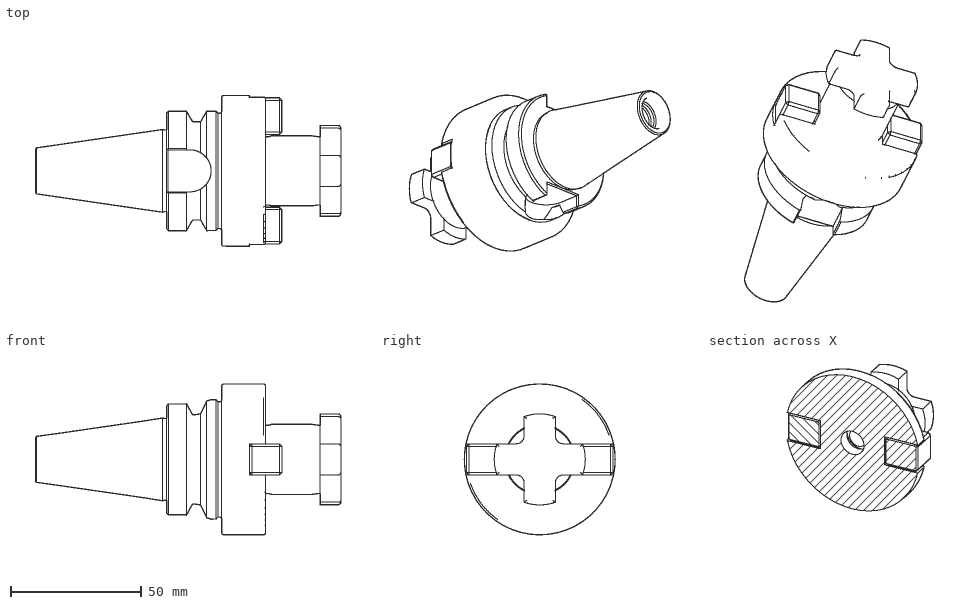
import cadquery as cq
import math


CUT_MARGIN = 1.0

GAUGE_R = 31.75 / 2
TAPER_LEN = 48.4
TAPER_SLOPE = 7 / 48
SMALL_END_R = GAUGE_R - TAPER_LEN * TAPER_SLOPE
SMALL_END_CHAMFER = 0.5
TAPER_OVERRUN = 0.5
TAPER_END_R = GAUGE_R + TAPER_OVERRUN * TAPER_SLOPE
NECK_R = GAUGE_R - 0.15
NECK_X = 1.2

GRIP_X = 2.0
GRIP_R = 23.0
GRIP_CHAMFER = 0.75
GROOVE_X = 13.5
GROOVE_DEPTH = 4.1
GROOVE_HALF_TOP = 3.9
GROOVE_HALF_FLOOR = GROOVE_HALF_TOP - GROOVE_DEPTH * math.tan(math.radians(30))
GROOVE_FLOOR_R = GRIP_R - GROOVE_DEPTH
GROOVE_FILLET = 0.8
GRIP_END_X = 20.9
RELIEF_DEPTH = 0.8

SLOT_HALF = 16.1 / 2
SLOT_FLOOR = 16.3
SLOT_END_X = 19.1
SLOT_CHAMFER = 0.5

BODY_X = 23.15
BODY_END_X = 40.0
BODY_R = 29.0
BODY_FILLET = 0.8

ARBOR_R = 27.0 / 2
ARBOR_LEN = 21.0
ARBOR_END_X = BODY_END_X + ARBOR_LEN
ARBOR_NECK_R = ARBOR_R - 0.3
ARBOR_NECK_LEN = 1.3
ARBOR_NECK_FILLET = 0.25
ARBOR_NECK_CONE = 1.0
LEAD_LEN = 2.0
LEAD_LAND = 1.1

BORE_R = 12.5 / 2
BORE_DEPTH = 5.6
BORE_MOUTH_FILLET = 1.0
STEP_R = 5.6
STEP_LEN = 2.0
STEP_CONE = 0.5
CORE_R = 4.9

HEAD_R = 35.0 / 2
HEAD_LEN = 8.0
LOBE_HALF = 6.0
LOBE_FILLET = 3.0
HEAD_FILLET = 1.3
SHANK_R = 6.0
SHANK_LEN = 22.0
TIP_CHAMFER = 2.25

KEY_X = 33.8
KEY_END_X = 46.3
KEY_WIDTH = 12.0
KEY_INNER = 13.9
KEY_OUTER = 28.1
KEY_CHAMFER = 1.0


def fillet_mid_offset(radius):
    """Distance of a right-angle fillet's midpoint from each of the two sides it joins."""
    return radius * (1 - math.sqrt(0.5))


def drive_slot():
    """Round-ended slot above SLOT_FLOOR, with a chamfered mouth and chamfered long edges."""
    height = GRIP_R + CUT_MARGIN - SLOT_FLOOR
    straight_end = SLOT_END_X - SLOT_HALF
    slot = (
        cq.Workplane("XY", origin=(0, 0, SLOT_FLOOR))
        .moveTo(GRIP_X - CUT_MARGIN, -SLOT_HALF)
        .lineTo(straight_end, -SLOT_HALF)
        .threePointArc((SLOT_END_X, 0), (straight_end, SLOT_HALF))
        .lineTo(GRIP_X - CUT_MARGIN, SLOT_HALF)
        .close()
        .extrude(height)
    )
    mouth_half = SLOT_HALF + SLOT_CHAMFER
    mouth = (
        cq.Workplane("YZ", origin=(GRIP_X, 0, SLOT_FLOOR + height / 2))
        .rect(2 * mouth_half, height + 2 * SLOT_CHAMFER)
        .extrude(SLOT_CHAMFER, taper=45)
    )
    edge_z = math.sqrt(GRIP_R**2 - mouth_half**2)
    long_edges = (
        cq.Workplane("YZ", origin=(GRIP_X, 0, 0))
        .moveTo(-mouth_half, edge_z)
        .lineTo(-SLOT_HALF, edge_z - SLOT_CHAMFER)
        .lineTo(SLOT_HALF, edge_z - SLOT_CHAMFER)
        .lineTo(mouth_half, edge_z)
        .lineTo(mouth_half, GRIP_R)
        .lineTo(-mouth_half, GRIP_R)
        .close()
        .extrude(GROOVE_X - GROOVE_HALF_TOP - GRIP_X)
    )
    return slot.union(mouth).union(long_edges)


def groove_cutter():
    """V groove ring with one rounded floor corner."""
    return (
        cq.Workplane("XY")
        .moveTo(GROOVE_X - GROOVE_HALF_TOP, GRIP_R)
        .lineTo(GROOVE_X - GROOVE_HALF_FLOOR, GROOVE_FLOOR_R)
        .lineTo(GROOVE_X + GROOVE_HALF_FLOOR, GROOVE_FLOOR_R)
        .lineTo(GROOVE_X + GROOVE_HALF_TOP, GRIP_R)
        .lineTo(GROOVE_X + GROOVE_HALF_TOP, GRIP_R + CUT_MARGIN)
        .lineTo(GROOVE_X - GROOVE_HALF_TOP, GRIP_R + CUT_MARGIN)
        .close()
        .revolve(360, (0, 0, 0), (1, 0, 0))
        .edges(cq.selectors.RadiusNthSelector(0))
        .edges("<X")
        .fillet(GROOVE_FILLET)
    )


def bore_cutter():
    """Stepped pull stud bore that runs on through the arbor, widened there for the screw shank."""
    face_x = -TAPER_LEN
    mouth_r = BORE_R + BORE_MOUTH_FILLET
    step_x = face_x + BORE_DEPTH
    arc_offset = fillet_mid_offset(BORE_MOUTH_FILLET)
    bore = (
        cq.Workplane("XY")
        .moveTo(face_x, 0)
        .lineTo(face_x, mouth_r)
        .threePointArc(
            (face_x + arc_offset, BORE_R + arc_offset),
            (face_x + BORE_MOUTH_FILLET, BORE_R),
        )
        .lineTo(step_x, BORE_R)
        .lineTo(step_x + STEP_CONE, STEP_R)
        .lineTo(step_x + STEP_LEN, STEP_R)
        .lineTo(step_x + STEP_LEN + STEP_CONE, CORE_R)
        .lineTo(ARBOR_END_X, CORE_R)
        .lineTo(ARBOR_END_X, 0)
        .close()
        .revolve(360, (0, 0, 0), (1, 0, 0))
    )
    shank_hole = (
        cq.Workplane("YZ", origin=(ARBOR_END_X, 0, 0))
        .circle(SHANK_R)
        .extrude(-SHANK_LEN)
    )
    return bore.union(shank_hole)


def key_block(side, outer):
    """Block of key width on the +Y (side = 1) or -Y (side = -1) side, reaching out to y = outer."""
    return (
        cq.Workplane("XY")
        .box(KEY_END_X - KEY_X, outer - KEY_INNER, KEY_WIDTH)
        .translate(((KEY_X + KEY_END_X) / 2, side * (KEY_INNER + outer) / 2, 0))
    )


def make_holder():
    relief_r = GRIP_R - RELIEF_DEPTH
    relief_arc_offset = fillet_mid_offset(RELIEF_DEPTH)
    rim_arc_offset = fillet_mid_offset(BODY_FILLET)
    neck_arc_offset = fillet_mid_offset(ARBOR_NECK_FILLET)
    arbor_neck_end = BODY_END_X + ARBOR_NECK_LEN
    lead_end = ARBOR_END_X - LEAD_LAND
    holder = (
        cq.Workplane("XY")
        .moveTo(-TAPER_LEN, 0)
        .lineTo(-TAPER_LEN, SMALL_END_R - SMALL_END_CHAMFER)
        .lineTo(-TAPER_LEN + SMALL_END_CHAMFER, SMALL_END_R + SMALL_END_CHAMFER * TAPER_SLOPE)
        .lineTo(TAPER_OVERRUN, TAPER_END_R)
        .lineTo(NECK_X, NECK_R)
        .lineTo(GRIP_X, NECK_R)
        .lineTo(GRIP_X, GRIP_R - GRIP_CHAMFER)
        .lineTo(GRIP_X + GRIP_CHAMFER, GRIP_R)
        .lineTo(GRIP_END_X, GRIP_R)
        .lineTo(GRIP_END_X + RELIEF_DEPTH, relief_r)
        .lineTo(BODY_X - RELIEF_DEPTH, relief_r)
        .threePointArc(
            (BODY_X - relief_arc_offset, relief_r + relief_arc_offset),
            (BODY_X, GRIP_R),
        )
        .lineTo(BODY_X, BODY_R - BODY_FILLET)
        .threePointArc(
            (BODY_X + rim_arc_offset, BODY_R - rim_arc_offset),
            (BODY_X + BODY_FILLET, BODY_R),
        )
        .lineTo(BODY_END_X - BODY_FILLET, BODY_R)
        .threePointArc(
            (BODY_END_X - rim_arc_offset, BODY_R - rim_arc_offset),
            (BODY_END_X, BODY_R - BODY_FILLET),
        )
        .lineTo(BODY_END_X, ARBOR_NECK_R + ARBOR_NECK_FILLET)
        .threePointArc(
            (BODY_END_X + neck_arc_offset, ARBOR_NECK_R + neck_arc_offset),
            (BODY_END_X + ARBOR_NECK_FILLET, ARBOR_NECK_R),
        )
        .lineTo(arbor_neck_end, ARBOR_NECK_R)
        .lineTo(arbor_neck_end + ARBOR_NECK_CONE, ARBOR_R)
        .lineTo(lead_end - LEAD_LEN, ARBOR_R)
        .lineTo(lead_end, ARBOR_NECK_R)
        .lineTo(ARBOR_END_X, ARBOR_NECK_R)
        .lineTo(ARBOR_END_X, 0)
        .close()
        .revolve(360, (0, 0, 0), (1, 0, 0))
    )
    holder = holder.cut(groove_cutter()).cut(bore_cutter())
    slot = drive_slot()
    for angle in (0, 180):
        holder = holder.cut(slot.rotate((0, 0, 0), (1, 0, 0), angle))
    for side in (1, -1):
        holder = holder.cut(key_block(side, BODY_R + CUT_MARGIN))
    return holder


def make_key(side):
    return key_block(side, KEY_OUTER).edges().chamfer(KEY_CHAMFER)


def make_clamping_screw():
    """Cross-shaped head on the arbor end, with a plain shank pointing to -X."""
    plane = cq.Workplane("YZ", origin=(ARBOR_END_X, 0, 0))
    cross = (
        plane.rect(2 * LOBE_HALF, 2 * HEAD_R)
        .extrude(HEAD_LEN)
        .union(plane.rect(2 * HEAD_R, 2 * LOBE_HALF).extrude(HEAD_LEN))
    )
    inner_corner = (LOBE_HALF + HEAD_R) / 2
    cross = cross.edges(
        cq.selectors.BoxSelector(
            (ARBOR_END_X, -inner_corner, -inner_corner),
            (ARBOR_END_X + HEAD_LEN, inner_corner, inner_corner),
        )
    ).edges("|X").fillet(LOBE_FILLET)
    head = cross.intersect(plane.circle(HEAD_R).extrude(HEAD_LEN))
    head = head.faces(">X").edges().fillet(HEAD_FILLET)
    shank = plane.circle(SHANK_R).extrude(-SHANK_LEN).faces("<X").chamfer(TIP_CHAMFER)
    return head.union(shank)


holder = make_holder()
keys = [make_key(side) for side in (1, -1)]
clamping_screw = make_clamping_screw()

result = cq.Compound.makeCompound([holder.val(), *[key.val() for key in keys], clamping_screw.val()])